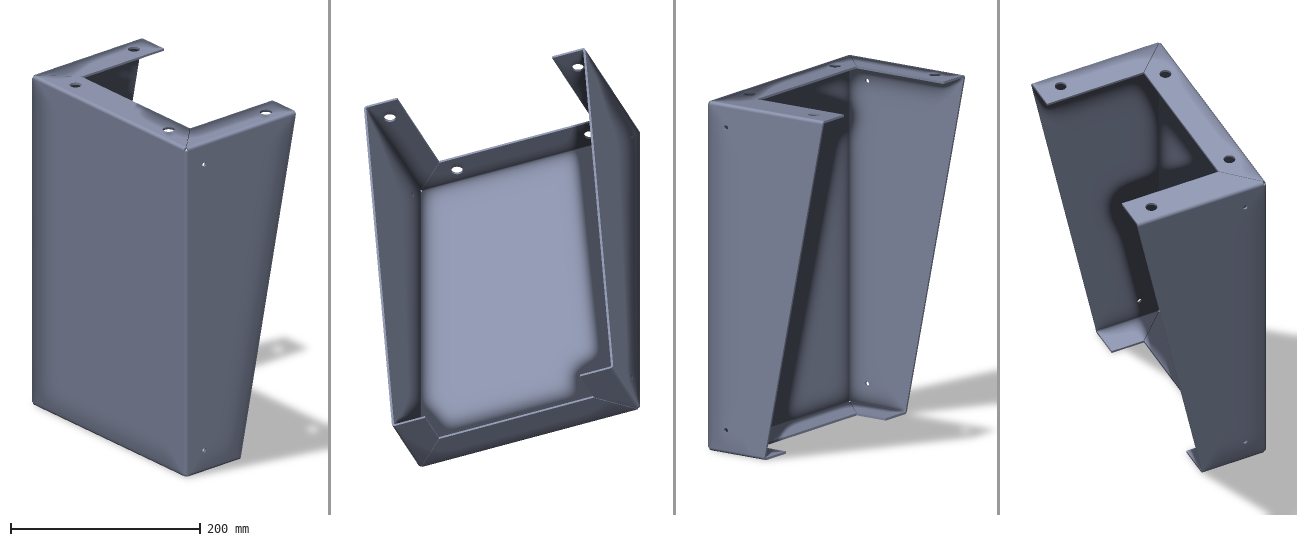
import cadquery as cq
import math

height = 381.0
width = height * 2 / 3
top_depth = height * 0.4
bottom_depth = top_depth / 2

thickness = 2.5
inner_bend_radius = 1.0
bend_radius = thickness + inner_bend_radius
flange_width = height / 10
miter_gap = 0.5

mount_diameter = 12.5
pilot_diameter = 5.0
edge_distance = height / 15
front_hole_spacing = top_depth
side_hole_spacing = width - flange_width


def rounded_block(inset):
    """Block inset from the outer faces, open-ended at the back, with its bends rounded."""
    block = cq.Workplane("XY").box(
        width - 2 * inset, top_depth - inset, height - 2 * inset, centered=(True, False, False)
    )
    block = block.edges("|Y or <Y").fillet(bend_radius - inset)
    return block.translate((0, inset, inset))


def flange_opening():
    """Space between the flange lips, running through the top and the bottom."""
    return (
        cq.Workplane("XY")
        .box(width - 2 * flange_width, top_depth, height, centered=(True, False, False))
        .translate((0, flange_width, 0))
    )


def back_taper():
    """Wedge that slopes the side walls; the bends and flanges keep square ends."""
    return (
        cq.Workplane("YZ")
        .moveTo(top_depth, height - bend_radius)
        .lineTo(bottom_depth, bend_radius)
        .lineTo(bottom_depth, 0)
        .lineTo(top_depth, 0)
        .close()
        .extrude(width / 2, both=True)
    )


def miter_slit(side):
    """45-degree slit through the top and bottom flanges, from a front bend to the opening."""
    length = math.sqrt(2) * (flange_width - bend_radius)
    return (
        cq.Workplane("XY")
        .box(length, miter_gap, height, centered=(False, True, False))
        .rotate((0, 0, 0), (0, 0, 1), 90 + 45 * side)
        .translate((side * (width / 2 - bend_radius), bend_radius, 0))
    )


def corner_reliefs():
    """Cubes at the four front corners, where three bends meet and stop short of each other."""
    corner_offset = (width - bend_radius) / 2
    reliefs = cq.Workplane("XY")
    for z in (bend_radius / 2, height - bend_radius / 2):
        for x in (-corner_offset, corner_offset):
            relief = cq.Workplane("XY").box(bend_radius, bend_radius, bend_radius)
            reliefs = reliefs.add(relief.translate((x, bend_radius / 2, z)))
    return reliefs.combine()


def top_holes():
    """Mounting holes through the top flanges only."""
    front_y = flange_width / 2
    back_y = top_depth - edge_distance
    centers = []
    for side in (-1, 1):
        centers.append((side * front_hole_spacing / 2, front_y))
        centers.append((side * side_hole_spacing / 2, back_y))
    return (
        cq.Workplane("XY", origin=(0, 0, height))
        .pushPoints(centers)
        .circle(mount_diameter / 2)
        .extrude(-2 * thickness)
    )


def side_holes():
    """Pilot holes through both side walls, near the front corners."""
    centers = [(edge_distance, edge_distance), (edge_distance, height - edge_distance)]
    return (
        cq.Workplane("YZ")
        .pushPoints(centers)
        .circle(pilot_diameter / 2)
        .extrude(width / 2, both=True)
    )


shell = rounded_block(0).cut(rounded_block(thickness))
shell = shell.cut(flange_opening()).cut(back_taper()).cut(corner_reliefs())
for side in (-1, 1):
    shell = shell.cut(miter_slit(side))
result = shell.cut(top_holes()).cut(side_holes())